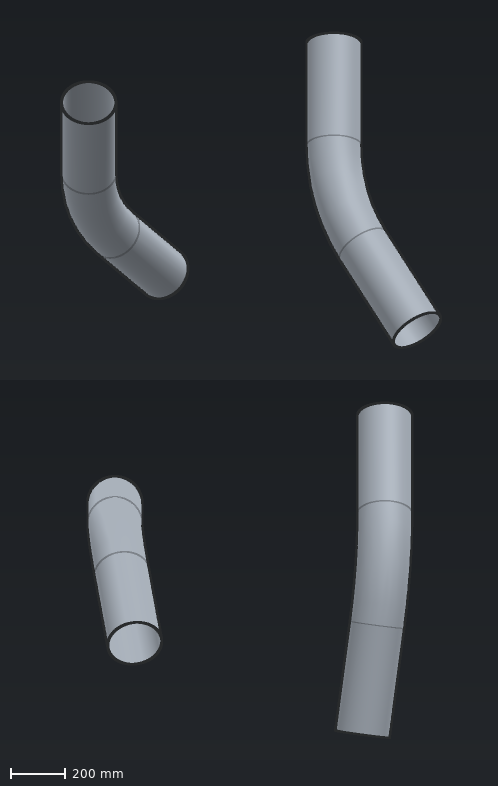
import cadquery as cq

outer_diameter = 203.0
inner_diameter = 197.0
leg_length = 406.0
bend_radius = 815.0
bend_angle = 30.0


def pipe_section():
    """Ring-shaped pipe wall in the XY plane, centred on the upper end of the bend."""
    return cq.Workplane("XY").circle(outer_diameter / 2).circle(inner_diameter / 2)


bend_axis_start = (0, bend_radius, 0)
bend_axis_end = (1, bend_radius, 0)

upper_leg = pipe_section().extrude(leg_length)
bend = pipe_section().revolve(bend_angle, bend_axis_start, bend_axis_end)

lower_leg = pipe_section().extrude(-leg_length).rotate(bend_axis_start, bend_axis_end, bend_angle)

result = upper_leg.union(bend).union(lower_leg)